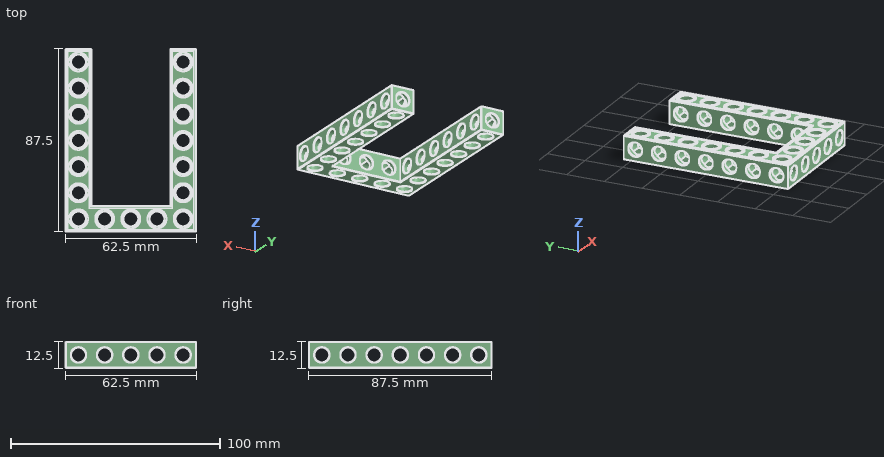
import cadquery as cq

pitch = 12.5
holes_across = 5
holes_along = 7
hole_diameter = 7.0

beam = pitch
width = holes_across * pitch
length = holes_along * pitch

bevel = 0.3

rim_width = 1.1
collar_diameter = 9.2
relief_depth = 0.2


def centred_positions(count):
    """Positions one pitch apart, centred on zero."""
    return [(i - (count - 1) / 2) * pitch for i in range(count)]


columns = centred_positions(holes_across)
rows = centred_positions(holes_along)
arm_columns = (columns[0], columns[-1])
arm_centres = [(x, y) for x in arm_columns for y in rows]
bridge_centres = [(x, rows[0]) for x in columns[1:-1]]
vertical_hole_centres = arm_centres + bridge_centres


def u_prism(inset, bottom, height):
    """U-shaped prism open toward +Y, with every side moved inward by inset."""
    outer_x = width / 2 - inset
    inner_x = width / 2 - beam + inset
    end_y = length / 2 - inset
    bridge_y = -length / 2 + beam - inset
    outline = [
        (-outer_x, -end_y),
        (outer_x, -end_y),
        (outer_x, end_y),
        (inner_x, end_y),
        (inner_x, bridge_y),
        (-inner_x, bridge_y),
        (-inner_x, end_y),
        (-outer_x, end_y),
    ]
    return cq.Workplane("XY").workplane(offset=bottom).polyline(outline).close().extrude(height)


def is_inside_corner(edge):
    """True for the two vertical edges where the arms meet the bridge."""
    centre = edge.Center()
    is_vertical = abs(centre.z) < bevel
    is_inside_width = abs(centre.x) < width / 2 - bevel
    is_inside_length = abs(centre.y) < length / 2 - bevel
    return is_vertical and is_inside_width and is_inside_length


def bevelled_frame():
    """Solid U frame with bevels on all edges except the two inside corners of the U."""
    frame = u_prism(0, -beam / 2, beam)
    return frame.edges().filter(lambda edge: not is_inside_corner(edge)).chamfer(bevel)


def top_relief():
    """Sunken panel inside the rim, with a collar left standing around each hole."""
    floor = beam / 2 - relief_depth
    collars = (
        cq.Workplane("XY")
        .workplane(offset=floor)
        .pushPoints(vertical_hole_centres)
        .circle(collar_diameter / 2)
        .extrude(relief_depth)
    )
    return u_prism(rim_width, floor, relief_depth).cut(collars)


def hole_cutter(thickness):
    """Cutter along Z for a hole through the given thickness, flared at both mouths."""
    radius = hole_diameter / 2
    half = thickness / 2
    profile = [
        (0, -half),
        (radius + bevel, -half),
        (radius, -half + bevel),
        (radius, half - bevel),
        (radius + bevel, half),
        (0, half),
    ]
    return cq.Workplane("XZ").polyline(profile).close().revolve(360, (0, 0), (0, 1))


def drill(body, cutter, centres):
    """Cut a copy of the cutter at each (x, y, z) centre."""
    for centre in centres:
        body = body.cut(cutter.translate(centre))
    return body


def turn_to_x(cutter):
    """Lay a Z cutter along X."""
    return cutter.rotate((0, 0, 0), (0, 1, 0), 90)


def turn_to_y(cutter):
    """Lay a Z cutter along Y."""
    return cutter.rotate((0, 0, 0), (1, 0, 0), 90)


beam_cutter = hole_cutter(beam)
width_cutter = hole_cutter(width)
length_cutter = hole_cutter(length)

result = bevelled_frame().cut(top_relief())

result = drill(result, beam_cutter, [(x, y, 0) for x, y in vertical_hole_centres])

result = drill(result, turn_to_x(beam_cutter), [(x, y, 0) for x in arm_columns for y in rows[1:]])
result = drill(result, turn_to_x(width_cutter), [(0, rows[0], 0)])

result = drill(result, turn_to_y(beam_cutter), [(x, rows[0], 0) for x in columns[1:-1]])
result = drill(result, turn_to_y(length_cutter), [(x, 0, 0) for x in arm_columns])